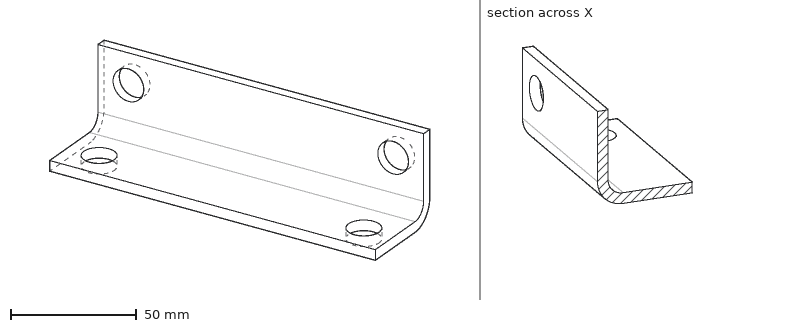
import cadquery as cq

length = 152.4
leg = 40.98
thickness = 4.76
inner_bend_radius = 6.35
hole_diameter = 14.28
hole_edge_distance = 14.28

outer_bend_radius = thickness + inner_bend_radius
hole_spacing = length - 2 * hole_edge_distance
hole_offset = leg - hole_edge_distance


def make_angle():
    """Bent L-section in the YZ plane, extruded along X and centred on X = 0."""
    outer_block = cq.Workplane("XY").box(length, leg, leg, centered=(True, False, False))
    outer_block = outer_block.translate((0, -leg, 0))
    outer_block = outer_block.edges("|X and >Y and <Z").fillet(outer_bend_radius)

    inner_leg = leg - thickness
    inner_block = cq.Workplane("XY").box(length, inner_leg, inner_leg, centered=(True, False, False))
    inner_block = inner_block.translate((0, -leg, thickness))
    inner_block = inner_block.edges("|X and >Y and <Z").fillet(inner_bend_radius)

    return outer_block.cut(inner_block)


def make_hole_cutters():
    """A pair of through-hole cylinders for each leg."""
    hole_radius = hole_diameter / 2
    up = cq.Vector(0, 0, 1)
    toward_front = cq.Vector(0, -1, 0)
    cutters = cq.Workplane("XY")
    for x in (-hole_spacing / 2, hole_spacing / 2):
        floor_hole = cq.Solid.makeCylinder(hole_radius, thickness, cq.Vector(x, -hole_offset, 0), up)
        wall_hole = cq.Solid.makeCylinder(hole_radius, thickness, cq.Vector(x, 0, hole_offset), toward_front)
        cutters = cutters.add(floor_hole).add(wall_hole)
    return cutters.combine()


result = make_angle().cut(make_hole_cutters())